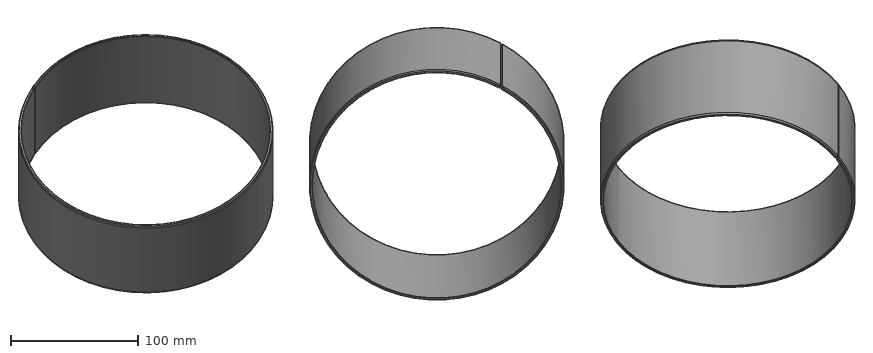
import cadquery as cq

outer_diameter = 200.0
wall = 2.5
height = 80.0
outer_chamfer_height = 1.5
outer_chamfer_width = 0.5
inner_chamfer = 0.3
slit_width = 1.5

outer_radius = outer_diameter / 2
inner_radius = outer_radius - wall
half_height = height / 2


def make_ring():
    """Revolve the wall section, chamfered along all four rim edges."""
    outer_rim_radius = outer_radius - outer_chamfer_width
    inner_rim_radius = inner_radius + inner_chamfer
    outer_shoulder = half_height - outer_chamfer_height
    inner_shoulder = half_height - inner_chamfer
    section = [
        (inner_radius, -inner_shoulder),
        (inner_rim_radius, -half_height),
        (outer_rim_radius, -half_height),
        (outer_radius, -outer_shoulder),
        (outer_radius, outer_shoulder),
        (outer_rim_radius, half_height),
        (inner_rim_radius, half_height),
        (inner_radius, inner_shoulder),
    ]
    return cq.Workplane("XZ").polyline(section).close().revolve(360, (0, 0), (0, 1))


def make_slit():
    """Full-height cutter through the -X wall, with one face on the XZ plane."""
    cutter_length = 4 * wall
    mid_wall_radius = (inner_radius + outer_radius) / 2
    cutter = cq.Workplane("XY").box(cutter_length, slit_width, height)
    return cutter.translate((-mid_wall_radius, slit_width / 2, 0))


result = make_ring().cut(make_slit())